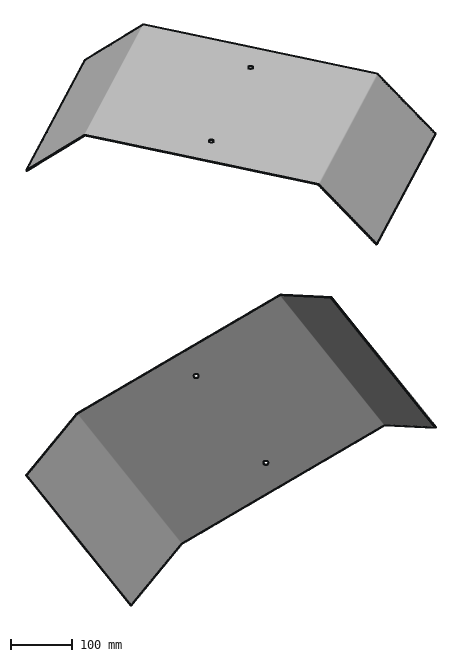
import cadquery as cq
import math

LENGTH = 600.0
WIDTH = 300.0
THICKNESS = 2.0
FLANGE_RUN = 100.0
BEND_ANGLE = 45.0
INNER_BEND_RADIUS = 2.0
HOLE_DIAMETER = 8.0
HOLE_SPACING = 200.0

SLOPE = math.radians(BEND_ANGLE)
OUTER_BEND_RADIUS = INNER_BEND_RADIUS + THICKNESS
CORNER_X = LENGTH / 2 - FLANGE_RUN
FLANGE_DROP = FLANGE_RUN * math.tan(SLOPE)
INNER_CORNER_X = CORNER_X - THICKNESS * math.tan(SLOPE / 2)


def bent_sheet():
    """Flat panel with a sloping flange at each end; the top face is at Z = 0."""
    tip_x = LENGTH / 2
    inner_tip_x = tip_x - THICKNESS * math.sin(SLOPE)
    inner_tip_z = -FLANGE_DROP - THICKNESS * math.cos(SLOPE)
    sheet = (
        cq.Workplane("XZ")
        .moveTo(-tip_x, -FLANGE_DROP)
        .lineTo(-CORNER_X, 0)
        .lineTo(CORNER_X, 0)
        .lineTo(tip_x, -FLANGE_DROP)
        .lineTo(inner_tip_x, inner_tip_z)
        .lineTo(INNER_CORNER_X, -THICKNESS)
        .lineTo(-INNER_CORNER_X, -THICKNESS)
        .lineTo(-inner_tip_x, inner_tip_z)
        .close()
        .extrude(WIDTH / 2, both=True)
    )
    return round_bends(sheet)


def round_corner_edges(sheet, corner_x, corner_z, radius):
    """Round the two Y-parallel edges at (+/-corner_x, corner_z)."""
    left = cq.selectors.NearestToPointSelector((-corner_x, 0, corner_z))
    right = cq.selectors.NearestToPointSelector((corner_x, 0, corner_z))
    return sheet.edges(left + right).fillet(radius)


def round_bends(sheet):
    """Round both bends with concentric inner and outer radii."""
    sheet = round_corner_edges(sheet, INNER_CORNER_X, -THICKNESS, INNER_BEND_RADIUS)
    return round_corner_edges(sheet, CORNER_X, 0, OUTER_BEND_RADIUS)


def mounting_holes():
    """Two cylinders, on the panel's Y axis, that cut through the sheet."""
    return (
        cq.Workplane("XY")
        .pushPoints([(0, -HOLE_SPACING / 2), (0, HOLE_SPACING / 2)])
        .circle(HOLE_DIAMETER / 2)
        .extrude(-THICKNESS)
    )


result = bent_sheet().cut(mounting_holes())